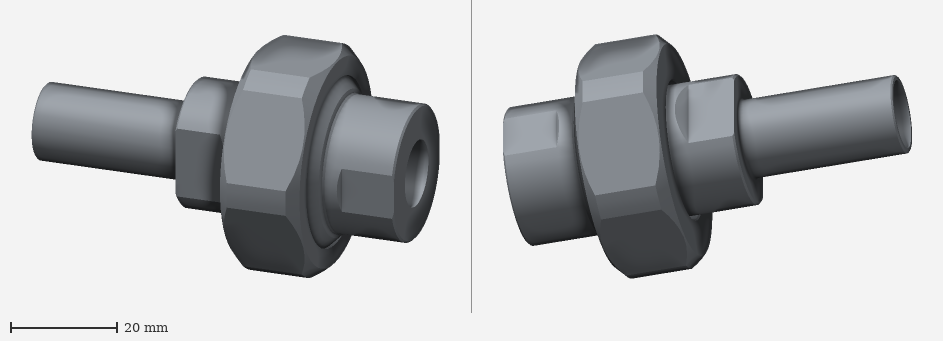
import cadquery as cq
import math

OVERALL_LENGTH = 74.5
BORE_R = 13.0 / 2

TUBE_R = 15.0 / 2
TUBE_EDGE = 0.3
COLLAR_X = 29.95
COLLAR_R = 25.0 / 2
COLLAR_EDGE = 0.4
TUBE_ROOT_R = 0.5
FLANGE_X = 45.45
FLANGE_R = 29.5 / 2
JOINT_X = 47.7
COLLAR_FLAT_Y = 10.4
COLLAR_FLAT_END_X = 38.9

NUT_X = 42.5
NUT_END_X = 58.4
NUT_FLATS = 41.0
NUT_R = 44.7 / 2
NUT_CHAMFER = 2.1
NUT_MOUTH_R = 26.5 / 2
NUT_MOUTH_CHAMFER = 0.3

THREAD_R = 33.1 / 2
SHOULDER_X = 57.75
CONE_END_X = 60.05
CONE_END_R = THREAD_R - (CONE_END_X - SHOULDER_X)
BARREL_R = 26.5 / 2
BARREL_X = 60.9
SHOULDER_ROOT = 0.45
BARREL_EDGE = 0.4
BARREL_FLAT_Y = 12.5
BARREL_FLAT_X = 64.1

CUTTER_REACH = 14.9


def revolve_about_x(profile):
    """Revolve a closed (x, radius) profile about the X axis."""
    return profile.close().revolve(360, (0, 0, 0), (1, 0, 0))


def flat_cutters(blind_x, open_x, flat_y):
    """Pair of cutters for flats at +/-flat_y, with a 45 degree run-out past blind_x."""
    run_out = math.copysign(CUTTER_REACH, blind_x - open_x)
    cutter = (
        cq.Workplane("XY")
        .moveTo(open_x, flat_y)
        .lineTo(blind_x, flat_y)
        .lineTo(blind_x + run_out, flat_y + CUTTER_REACH)
        .lineTo(open_x, flat_y + CUTTER_REACH)
        .close()
        .extrude(CUTTER_REACH, both=True)
    )
    return cutter, cutter.mirror("XZ")


def make_tailpiece():
    root_offset = TUBE_ROOT_R * (1 - math.sqrt(0.5))
    profile = (
        cq.Workplane("XY")
        .moveTo(0, BORE_R)
        .lineTo(0, TUBE_R - TUBE_EDGE)
        .lineTo(TUBE_EDGE, TUBE_R)
        .lineTo(COLLAR_X - TUBE_ROOT_R, TUBE_R)
        .threePointArc(
            (COLLAR_X - root_offset, TUBE_R + root_offset),
            (COLLAR_X, TUBE_R + TUBE_ROOT_R),
        )
        .lineTo(COLLAR_X, COLLAR_R - COLLAR_EDGE)
        .lineTo(COLLAR_X + COLLAR_EDGE, COLLAR_R)
        .lineTo(FLANGE_X, COLLAR_R)
        .lineTo(FLANGE_X, FLANGE_R)
        .lineTo(JOINT_X, FLANGE_R)
        .lineTo(JOINT_X, BORE_R)
    )
    body = revolve_about_x(profile)
    for cutter in flat_cutters(COLLAR_FLAT_END_X, COLLAR_X, COLLAR_FLAT_Y):
        body = body.cut(cutter)
    return body


def make_nut():
    length = NUT_END_X - NUT_X
    corner_diameter = NUT_FLATS / math.cos(math.pi / 6)
    hexagon = (
        cq.Workplane("YZ", origin=(NUT_X, 0, 0))
        .polygon(6, corner_diameter)
        .extrude(length)
    )
    turned_blank = (
        cq.Workplane("YZ", origin=(NUT_X, 0, 0))
        .circle(NUT_R)
        .extrude(length)
        .faces("<X or >X")
        .chamfer(NUT_CHAMFER)
    )
    cavity = revolve_about_x(
        cq.Workplane("XY")
        .moveTo(NUT_X, 0)
        .lineTo(NUT_X, NUT_MOUTH_R + NUT_MOUTH_CHAMFER)
        .lineTo(NUT_X + NUT_MOUTH_CHAMFER, NUT_MOUTH_R)
        .lineTo(FLANGE_X, NUT_MOUTH_R)
        .lineTo(FLANGE_X, THREAD_R)
        .lineTo(NUT_END_X, THREAD_R)
        .lineTo(NUT_END_X, 0)
    )
    return hexagon.intersect(turned_blank).cut(cavity)


def make_threaded_end():
    profile = (
        cq.Workplane("XY")
        .moveTo(JOINT_X, BORE_R)
        .lineTo(JOINT_X, THREAD_R)
        .lineTo(SHOULDER_X, THREAD_R)
        .lineTo(CONE_END_X, CONE_END_R)
        .lineTo(BARREL_X - SHOULDER_ROOT, BARREL_R + SHOULDER_ROOT / 2)
        .lineTo(BARREL_X, BARREL_R)
        .lineTo(OVERALL_LENGTH - BARREL_EDGE, BARREL_R)
        .lineTo(OVERALL_LENGTH, BARREL_R - BARREL_EDGE)
        .lineTo(OVERALL_LENGTH, BORE_R)
    )
    body = revolve_about_x(profile)
    for cutter in flat_cutters(BARREL_FLAT_X, OVERALL_LENGTH, BARREL_FLAT_Y):
        body = body.cut(cutter)
    return body


tailpiece = make_tailpiece()
nut = make_nut()
threaded_end = make_threaded_end()

result = cq.Compound.makeCompound([tailpiece.solids().val(), nut.solids().val(), threaded_end.solids().val()])